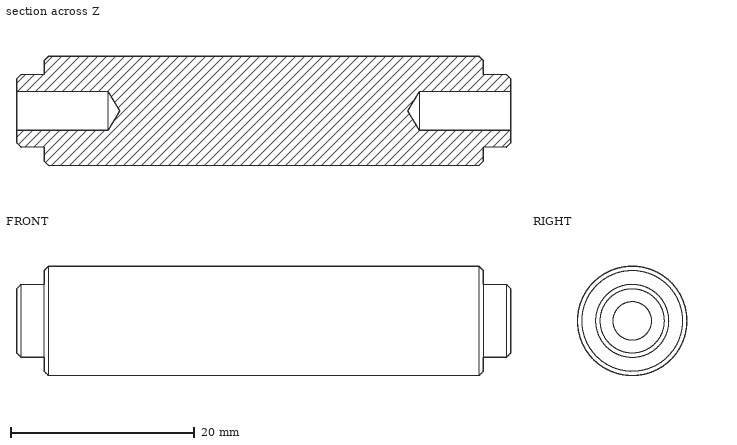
import cadquery as cq
import math

total_length = 54.0
body_length = 48.0
body_diameter = 12.0
journal_diameter = 8.0
edge_chamfer = 0.5

hole_diameter = 4.2
hole_depth = 10.0
drill_point_angle = 118.0


def chamfered_cylinder(length, diameter):
    """Cylinder along X, centred on the origin, with both rims chamfered."""
    return (
        cq.Workplane("YZ", origin=(-length / 2, 0, 0))
        .circle(diameter / 2)
        .extrude(length)
        .faces("<X or >X")
        .edges()
        .chamfer(edge_chamfer)
    )


def drilled_hole():
    """Cutter for the hole in the -X end: a straight bore with a conical bottom."""
    hole_radius = hole_diameter / 2
    point_length = hole_radius / math.tan(math.radians(drill_point_angle / 2))
    end_face = -total_length / 2
    hole_bottom = end_face + hole_depth
    return (
        cq.Workplane("XY")
        .moveTo(end_face, 0)
        .lineTo(end_face, hole_radius)
        .lineTo(hole_bottom, hole_radius)
        .lineTo(hole_bottom + point_length, 0)
        .close()
        .revolve(360, (0, 0, 0), (1, 0, 0))
    )


body = chamfered_cylinder(body_length, body_diameter)
shaft = chamfered_cylinder(total_length, journal_diameter)
hole = drilled_hole()

result = body.union(shaft).cut(hole).cut(hole.mirror("YZ"))